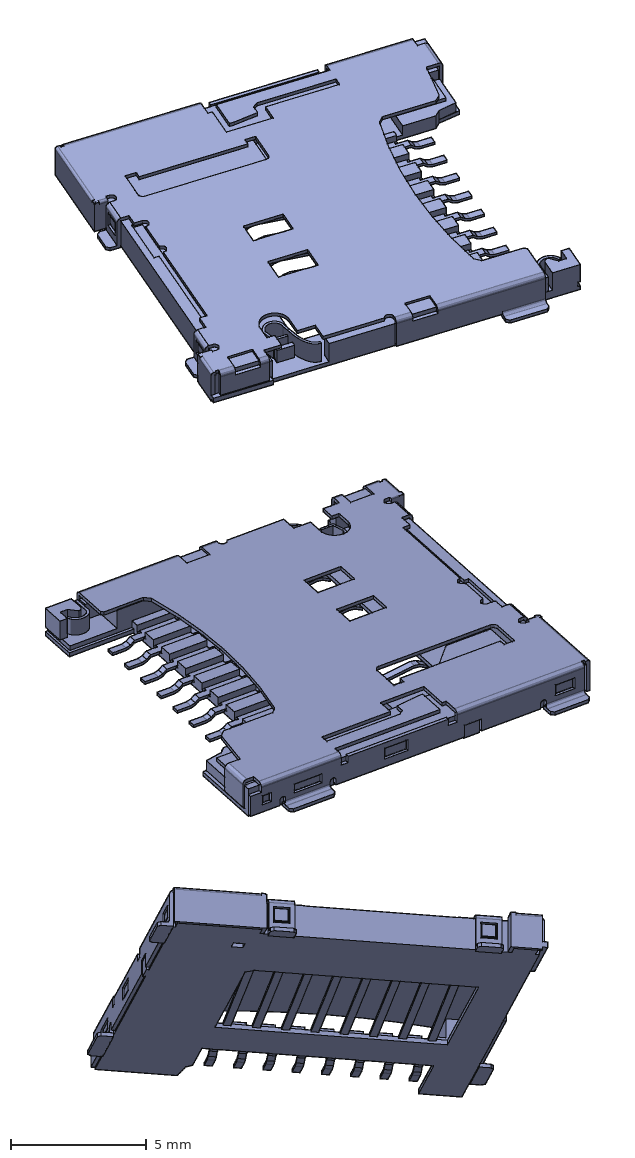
import cadquery as cq
import math

SHEET = 0.15
TOP = 1.5
PLATE_UNDER = TOP - SHEET
SOLDER_FOOT_BOTTOM = 0.05
WALL_BOTTOM = SOLDER_FOOT_BOTTOM + SHEET
BASE_BOTTOM = 0.12
FLOOR_TOP = 0.30
RIB_TOP = 0.60
SHELF_TOP = 0.50
REAR_LEFT_TOP = 0.75
LOW_TOP = 1.20

HALF_X = 7.47
HALF_Y = 7.475
WALL_LEFT = -7.03
WALL_RIGHT = 7.06
BASE_LEFT = WALL_LEFT + SHEET
BASE_RIGHT = 6.91
SHELF_LEFT = 5.40
SHELF_LIP = 0.10
ARM_LEFT = 5.28
REAR_LEFT_CORNER_X = -3.79
FRONT_WALL_INNER = -6.20
BASE_FRONT = -6.92
BEND_DEPTH = 0.20
SIDE_BEND = 0.18
FRONT_BEND = 0.10
SHARP_BEND = 0.03

FRONT_LEFT = (-6.92, -3.44)
FRONT_RIGHT = (5.72, 6.92)
SIDE_WALL_FRONT = -7.16
RIGHT_WALL_FRONT = -0.04
REAR_LEFT_END = [(-3.65, 6.58), (-3.43, 6.35)]
EXPOSED_SIDE = 6.77
SWITCH_NOTCH = (6.08, -4.47, -2.88)
SWITCH_NOTCH_STEP = 6.55
CONTACT_WINDOWS = ((-0.03, 0.86), (2.14, 3.08))
CONTACT_WINDOW_Y = (-3.0, -1.39)
CORNER_RELIEF = (6.82, -0.22)
BACK_CORNER = (7.0, 1.10)
REAR_RIGHT = 6.0
FRONT_RIGHT_WALL_BACK = -5.17
SKIRT_SIDE = 7.11
SKIRT_BACK = -5.04
SKIRT_TOP = 0.42
BACK_FLANGE = (-6.50, -5.27)
BAY = (-3.43, 5.36)
BAY_CORNER_Y = 3.96
BAY_MIDDLE_Y = 3.49
PLATE_FRONT = -6.59
RELIEF = 0.35
TAB_WIDTH = 0.98
TAB_XS = (-2.80, 4.99)
TAB_OUTER = BASE_FRONT - SHEET
TAB_WINDOW = (0.62, 0.55, 1.17)
FOOT_CORNER = 0.12
FOOT_BEND = 0.13
FRONT_NOTCH = (-1.84, 3.94)
FRONT_NOTCH_BACK = -6.28
NOTCH_RELIEF_XS = (-1.68, -0.12)
NOTCH_RELIEF_BACK = -6.08
LEFT_FEET = ((3.99, 6.0), (-7.16, -5.45))
RIGHT_FOOT = (4.25, 6.0)
LEFT_ARCH_YS = (6.06, 3.86, -5.36)
ARCH_WIDTH = 0.25
ARCH_TOP = 0.55
ARCH_ROUNDING = 0.12
LEFT_WINDOWS = (
    (6.57, 6.95, 0.53, 0.93),
    (4.35, 5.56, 0.53, 0.93),
    (0.57, 1.60, 0.55, 1.03),
    (-6.73, -5.89, 0.55, 1.03),
)
LEFT_DOOR = (-2.64, -1.89, 0.73)
RIGHT_NOTCHES = ((0.63, 1.64), (-6.55, -5.54))
RIGHT_NOTCH_X = 6.34
LATCH_GAP = 0.05
LATCH_HEIGHT = 0.10

CONTACT_COUNT = 8
CONTACT_PITCH = 1.10
CONTACT_FIRST_X = -2.92
CONTACT_WIDTH = 0.30
CONTACT_SHEET = 0.12
CONTACT_TAIL = 6.0
CONTACT_PLATE_BACK = 4.55
PLATE_BOTTOM = 0.20
GROOVE_WIDTH = CONTACT_PITCH / 2
COMB_BACK = 4.65
COMB_FRONT = 3.0
CONTACT_XS = [CONTACT_FIRST_X + i * CONTACT_PITCH for i in range(CONTACT_COUNT)]

SLIDER_LEFT = -5.24
SLIDER_EDGE = -3.37
SLIDER_TOP = 0.68
SLIDER_BACK = -0.30
SLIDER_FRONT = -6.10
CATCH_RIGHT = -2.30
CATCH_START = -3.07
PEG_HOLE = (-4.36, -3.93, -5.80, -5.42)

STRIP = 0.10
SWITCH_POCKET = (4.70, BASE_RIGHT, -5.0, -2.70)
SWITCH_POST = (5.97, 6.16, -4.47, -3.75)
SWITCH_POST_TOP = 0.90


def block(x0, x1, y0, y1, z0, z1):
    """Axis-aligned box given by its limits."""
    return cq.Workplane("XY").box(x1 - x0, y1 - y0, z1 - z0, centered=False).translate((x0, y0, z0))


def prism(points, z0, z1):
    """Straight-sided prism on a plan outline."""
    return cq.Workplane("XY").workplane(offset=z0).polyline(points).close().extrude(z1 - z0)


def bent_wall(start, outward, length, bend, bottom=WALL_BOTTOM):
    """Shell wall with a rounded top bend; start is on the outer face, and the wall runs along outward x Z."""
    along = (outward[1], -outward[0], 0)
    plane = cq.Plane(origin=(start[0], start[1], 0), xDir=(outward[0], outward[1], 0), normal=along)
    diagonal = bend * (1 - math.sqrt(0.5))
    return (
        cq.Workplane(plane)
        .moveTo(0, bottom)
        .lineTo(0, TOP - bend)
        .threePointArc((-diagonal, TOP - diagonal), (-bend, TOP))
        .lineTo(-BEND_DEPTH, TOP)
        .lineTo(-BEND_DEPTH, PLATE_UNDER)
        .lineTo(-SHEET, PLATE_UNDER)
        .lineTo(-SHEET, bottom)
        .close()
        .extrude(length)
    )


def foot(x0, x1, y0, y1, outer_side):
    """Flat solder foot with its two outer corners clipped."""
    pad = block(x0, x1, y0, y1, SOLDER_FOOT_BOTTOM, WALL_BOTTOM)
    return pad.faces(outer_side).edges("|Z").chamfer(FOOT_CORNER)


def foot_bend(wall_x, side, y0, y1):
    """Inside radius between a side wall and its foot; side is +1 or -1 along X."""
    z = WALL_BOTTOM
    reach = FOOT_BEND * (1 - math.sqrt(0.5))
    return (
        cq.Workplane("XZ", origin=(0, y1, 0))
        .moveTo(wall_x, z)
        .lineTo(wall_x + side * FOOT_BEND, z)
        .threePointArc((wall_x + side * reach, z + reach), (wall_x, z + FOOT_BEND))
        .close()
        .extrude(y1 - y0)
    )


def round_relief(x, y_back, y_front, width):
    """Cutter for a slot along Y with a round back end."""
    radius = width / 2
    return (
        cq.Workplane("XY")
        .workplane(offset=WALL_BOTTOM)
        .moveTo(x - radius, y_front)
        .lineTo(x - radius, y_back - radius)
        .threePointArc((x, y_back), (x + radius, y_back - radius))
        .lineTo(x + radius, y_front)
        .close()
        .extrude(TOP)
    )


def shell_plate():
    left = WALL_LEFT + BEND_DEPTH
    back = HALF_Y - BEND_DEPTH
    front = -back
    bay_left, bay_right = BAY
    corner = 0.22
    clip = 0.10
    notch_x, notch_start, notch_end = SWITCH_NOTCH
    flange_front = 6.80
    outline = (
        cq.Workplane("XY")
        .workplane(offset=PLATE_UNDER)
        .moveTo(left, front)
        .lineTo(left, back)
        .lineTo(BACK_FLANGE[1], back)
        .lineTo(BACK_FLANGE[1], flange_front)
        .lineTo(*REAR_LEFT_END[0])
        .lineTo(*REAR_LEFT_END[1])
        .lineTo(bay_left, BAY_CORNER_Y + corner)
        .lineTo(bay_left + corner, BAY_CORNER_Y)
        .threePointArc(((bay_left + bay_right) / 2, BAY_MIDDLE_Y), (bay_right - corner, BAY_CORNER_Y))
        .lineTo(bay_right, BAY_CORNER_Y + corner)
        .lineTo(bay_right, REAR_RIGHT - clip)
        .lineTo(bay_right + clip, REAR_RIGHT)
        .lineTo(WALL_RIGHT - BEND_DEPTH, REAR_RIGHT)
        .lineTo(WALL_RIGHT - BEND_DEPTH, RIGHT_WALL_FRONT)
        .lineTo(EXPOSED_SIDE, RIGHT_WALL_FRONT)
        .lineTo(EXPOSED_SIDE, notch_end)
        .lineTo(notch_x, notch_end)
        .lineTo(notch_x, notch_start)
        .lineTo(SWITCH_NOTCH_STEP, notch_start)
        .lineTo(SWITCH_NOTCH_STEP, FRONT_RIGHT_WALL_BACK)
        .lineTo(WALL_RIGHT - BEND_DEPTH, FRONT_RIGHT_WALL_BACK)
        .lineTo(WALL_RIGHT - BEND_DEPTH, front)
        .lineTo(FRONT_RIGHT[0] + BEND_DEPTH, front)
        .lineTo(FRONT_RIGHT[0] + BEND_DEPTH, BASE_FRONT)
        .lineTo(TAB_XS[1] - TAB_WIDTH / 2, BASE_FRONT)
        .lineTo(TAB_XS[1] - TAB_WIDTH / 2, PLATE_FRONT)
        .lineTo(TAB_XS[0] + TAB_WIDTH / 2, PLATE_FRONT)
        .lineTo(TAB_XS[0] + TAB_WIDTH / 2, BASE_FRONT)
        .lineTo(FRONT_LEFT[1] - BEND_DEPTH, BASE_FRONT)
        .lineTo(FRONT_LEFT[1] - BEND_DEPTH, front)
        .close()
    )
    return outline.extrude(SHEET)


def shell_walls():
    left_start, left_end = FRONT_LEFT
    right_start, right_end = FRONT_RIGHT
    back_start, back_end = BACK_FLANGE
    return_depth = BASE_FRONT + HALF_Y
    side_front_length = FRONT_RIGHT_WALL_BACK - SIDE_WALL_FRONT
    return [
        bent_wall((WALL_LEFT, SIDE_WALL_FRONT), (-1, 0), HALF_Y - SIDE_WALL_FRONT, SIDE_BEND),
        bent_wall((back_start, HALF_Y), (0, 1), back_end - back_start, SIDE_BEND, FLOOR_TOP),
        bent_wall((WALL_RIGHT, REAR_RIGHT), (1, 0), REAR_RIGHT - RIGHT_WALL_FRONT, SIDE_BEND),
        bent_wall((WALL_RIGHT, FRONT_RIGHT_WALL_BACK), (1, 0), side_front_length, SIDE_BEND),
        bent_wall((left_end, -HALF_Y), (0, -1), left_end - left_start, FRONT_BEND, BASE_BOTTOM),
        bent_wall((right_end, -HALF_Y), (0, -1), right_end - right_start, FRONT_BEND, BASE_BOTTOM),
        bent_wall((left_end, BASE_FRONT), (1, 0), return_depth, FRONT_BEND, BASE_BOTTOM),
        bent_wall((right_start, -HALF_Y), (-1, 0), return_depth, SHARP_BEND, BASE_BOTTOM),
        block(BASE_RIGHT, SKIRT_SIDE, -HALF_Y, SKIRT_BACK, WALL_BOTTOM, SKIRT_TOP),
    ]


def front_tab(x):
    """Locking tab with its window and solder foot."""
    left = x - TAB_WIDTH / 2
    right = x + TAB_WIDTH / 2
    window_width, window_bottom, window_top = TAB_WINDOW
    tab = bent_wall((right, TAB_OUTER), (0, -1), TAB_WIDTH, SIDE_BEND)
    tab = tab.union(block(left, right, TAB_OUTER + BEND_DEPTH, PLATE_FRONT, PLATE_UNDER, TOP))
    half = window_width / 2
    tab = tab.cut(block(x - half, x + half, TAB_OUTER, BASE_FRONT, window_bottom, window_top))
    return tab.union(foot(left, right, -HALF_Y, BASE_FRONT, "<Y"))


def leaf_slot():
    """Opening around the leaf spring that presses on the slider side."""
    y_root, y_end = 3.50, -1.58
    cut_bottom = 1.28
    notch_bottom = 1.0
    opening = prism(
        [(WALL_LEFT, y_root), (-5.72, y_root), (-5.72, 0.50), (-5.04, 0.50), (-5.04, -1.40),
         (-6.28, -1.40), (-6.28, y_end), (WALL_LEFT, y_end)],
        cut_bottom, TOP,
    )
    leaf = prism(
        [(-6.60, y_root), (-6.05, y_root), (-6.05, 0.30), (-5.90, 0.10), (-5.55, 0.10),
         (-5.43, -0.90), (-5.43, -1.10), (-6.60, -1.10)],
        cut_bottom, TOP,
    )
    wall_notches = block(WALL_LEFT, BASE_LEFT, y_root - 0.30, y_root, notch_bottom, TOP)
    wall_notches = wall_notches.union(block(WALL_LEFT, BASE_LEFT, y_end, y_end + 0.38, notch_bottom, TOP))
    return opening.cut(leaf).union(wall_notches)


def slider_slot():
    """Stepped opening over the slider."""
    y_front, y_back = -5.80, -0.52
    slot = block(-4.12, -3.05, y_front, y_back, PLATE_UNDER, TOP)
    slot = slot.edges("|Z and >X").fillet(0.20)
    for y0, y1 in ((y_back - 0.43, y_back), (y_front, y_front + 0.45)):
        slot = slot.union(block(-4.38, -4.0, y0, y1, PLATE_UNDER, TOP))
    return slot


def switch_opening():
    """D-shaped hole over the loop of the front detect spring."""
    radius = 0.59
    x_mid, y_mid = 5.38, -4.20
    notch_x, notch_start, _ = SWITCH_NOTCH
    x_right = SWITCH_POST[0]
    return (
        cq.Workplane("XY")
        .workplane(offset=PLATE_UNDER)
        .moveTo(notch_x, y_mid + radius)
        .lineTo(x_mid, y_mid + radius)
        .threePointArc((x_mid - radius, y_mid), (x_mid, y_mid - radius))
        .lineTo(x_right, y_mid - radius)
        .lineTo(x_right, notch_start)
        .lineTo(notch_x, notch_start)
        .close()
        .extrude(SHEET)
    )


def left_wall_openings():
    x0, x1 = WALL_LEFT, BASE_LEFT
    corner_start, corner_bottom = BACK_CORNER
    cutters = [block(x0, x1, *window) for window in LEFT_WINDOWS]
    door_start, door_end, door_top = LEFT_DOOR
    cutters.append(block(x0, x1, door_start, door_end, WALL_BOTTOM, door_top))
    for y in LEFT_ARCH_YS:
        radius = ARCH_WIDTH / 2
        arch = block(x0, x1, y - radius, y + radius, WALL_BOTTOM, ARCH_TOP)
        cutters.append(arch.edges("|X and >Z").fillet(ARCH_ROUNDING))
    cutters.append(block(x0, BACK_FLANGE[0], corner_start, HALF_Y, corner_bottom, TOP))
    return cutters


def make_shell():
    """Folded sheet metal cover."""
    shell = shell_plate()
    for wall in shell_walls():
        shell = shell.union(wall)
    for x in TAB_XS:
        shell = shell.union(front_tab(x))
    for y0, y1 in LEFT_FEET:
        shell = shell.union(foot(-HALF_X, BASE_LEFT, y0, y1, "<X"))
        shell = shell.union(foot_bend(WALL_LEFT, -1, y0, y1))
    shell = shell.union(foot(WALL_RIGHT - SHEET, HALF_X, *RIGHT_FOOT, ">X"))
    shell = shell.union(foot_bend(WALL_RIGHT, 1, *RIGHT_FOOT))

    tab_reliefs = (
        TAB_XS[0] - (TAB_WIDTH + RELIEF) / 2,
        TAB_XS[1] + (TAB_WIDTH + RELIEF) / 2,
    )
    for x in tab_reliefs:
        shell = shell.cut(round_relief(x, PLATE_FRONT, BASE_FRONT, RELIEF))
    for x in NOTCH_RELIEF_XS:
        shell = shell.cut(round_relief(x, NOTCH_RELIEF_BACK, PLATE_FRONT, RELIEF))
    shell = shell.cut(block(*FRONT_NOTCH, PLATE_FRONT, FRONT_NOTCH_BACK, PLATE_UNDER, TOP))

    for y0, y1 in RIGHT_NOTCHES:
        shell = shell.cut(block(RIGHT_NOTCH_X, WALL_RIGHT, y0, y1, LOW_TOP, TOP))
    for x0, x1 in CONTACT_WINDOWS:
        shell = shell.cut(block(x0, x1, *CONTACT_WINDOW_Y, PLATE_UNDER, TOP))
    corner_relief = cq.Workplane("XY").center(*CORNER_RELIEF).circle(RELIEF / 2).extrude(TOP)
    shell = shell.cut(corner_relief)
    for cutter in left_wall_openings():
        shell = shell.cut(cutter)
    return shell.cut(leaf_slot()).cut(slider_slot()).cut(switch_opening())


def contact():
    """One contact: tail on the board, wide plate in the floor groove, and beam rising to the front."""
    lower = [
        (CONTACT_TAIL, 0), (5.41, 0), (5.22, 0.06), (5.04, PLATE_BOTTOM), (2.70, PLATE_BOTTOM),
        (-2.25, 0.84), (-2.50, 0.80), (-2.83, 0.62),
    ]
    upper = [(y, z + CONTACT_SHEET) for y, z in reversed(lower)]
    strip = cq.Workplane("YZ").polyline(lower + upper).close().extrude(CONTACT_WIDTH / 2, both=True)
    half = GROOVE_WIDTH / 2
    plate = block(-half, half, COMB_FRONT, CONTACT_PLATE_BACK, PLATE_BOTTOM, PLATE_BOTTOM + CONTACT_SHEET)
    return strip.union(plate)


def housing_base():
    base = prism(
        [(BASE_LEFT, BASE_FRONT), (BASE_RIGHT, BASE_FRONT), (BASE_RIGHT, HALF_Y), (ARM_LEFT, HALF_Y),
         (ARM_LEFT, COMB_BACK), (BAY[0], COMB_BACK), *reversed(REAR_LEFT_END), (REAR_LEFT_CORNER_X, HALF_Y),
         (BASE_LEFT, HALF_Y)],
        BASE_BOTTOM, FLOOR_TOP,
    )
    front_left = block(FRONT_LEFT[0] + SHEET, FRONT_LEFT[1] - SHEET, SHEET - HALF_Y, BASE_FRONT,
                       BASE_BOTTOM, PLATE_UNDER)
    front_right = block(FRONT_RIGHT[0] + SHEET, FRONT_RIGHT[1] - SHEET, SHEET - HALF_Y, BASE_FRONT,
                        BASE_BOTTOM, PLATE_UNDER)
    return base.union(front_left).union(front_right)


def housing_walls():
    """Side rails, front wall and rear corner blocks standing on the floor."""
    right_inner = 6.50
    block_front = 5.0
    rear_left_back = HALF_Y - SHEET
    step_x, step_back, step_height = -4.03, 7.03, 0.15
    corner_block_right = -6.60
    arm_wall_back = 5.30
    block_left, block_inner_back = 5.92, 7.15
    pocket_x = 6.40
    walls = [
        block(BASE_LEFT, SLIDER_LEFT, BASE_FRONT, HALF_Y - BEND_DEPTH, FLOOR_TOP, LOW_TOP),
        block(BASE_LEFT, corner_block_right, block_front, HALF_Y, FLOOR_TOP, PLATE_UNDER),
        block(BASE_LEFT, BASE_RIGHT, BASE_FRONT, FRONT_WALL_INNER, FLOOR_TOP, PLATE_UNDER),
        block(right_inner, BASE_RIGHT, BASE_FRONT, REAR_RIGHT, FLOOR_TOP, LOW_TOP),
        block(SHELF_LEFT, BASE_RIGHT, COMB_FRONT, HALF_Y - SHELF_LIP, FLOOR_TOP, SHELF_TOP),
        block(SHELF_LEFT, BASE_RIGHT, COMB_FRONT, arm_wall_back, SHELF_TOP, PLATE_UNDER),
    ]
    rear_left = prism(
        [(SLIDER_LEFT, block_front), (BAY[0], block_front), *reversed(REAR_LEFT_END),
         (REAR_LEFT_CORNER_X, rear_left_back), (SLIDER_LEFT, rear_left_back)],
        FLOOR_TOP, REAR_LEFT_TOP,
    )
    step_top = REAR_LEFT_TOP + step_height
    rear_left_step = block(SLIDER_LEFT, step_x, block_front, step_back, REAR_LEFT_TOP, step_top)
    rear_right = (
        cq.Workplane("XY")
        .workplane(offset=SHELF_TOP)
        .moveTo(block_left, HALF_Y)
        .lineTo(BASE_RIGHT, HALF_Y)
        .lineTo(BASE_RIGHT, 6.34)
        .lineTo(6.28, 6.34)
        .threePointArc((6.13, 6.43), (6.10, 6.53))
        .lineTo(pocket_x, 6.83)
        .lineTo(pocket_x, block_inner_back)
        .lineTo(block_left, block_inner_back)
        .close()
        .extrude(PLATE_UNDER - SHELF_TOP)
    )
    return walls + [rear_left, rear_left_step, rear_right]


def comb():
    """Ribs that keep the contacts apart at the rear edge."""
    ribs = block(BAY[0], SHELF_LEFT, COMB_FRONT, COMB_BACK, FLOOR_TOP, RIB_TOP)
    half = GROOVE_WIDTH / 2
    for x in CONTACT_XS:
        ribs = ribs.cut(block(x - half, x + half, COMB_FRONT, COMB_BACK, FLOOR_TOP, RIB_TOP))
    return ribs


def latches():
    """Nubs that snap into the windows of the shell."""
    nubs = []
    outer = BASE_LEFT - LATCH_HEIGHT
    for y0, y1, z0, z1 in LEFT_WINDOWS:
        nubs.append(block(outer, BASE_LEFT, y0 + LATCH_GAP, y1 - LATCH_GAP,
                          z0 + LATCH_GAP, z1 - LATCH_GAP))
    door_start, door_end, door_top = LEFT_DOOR
    nubs.append(block(outer, BASE_LEFT, door_start + LATCH_GAP, door_end, BASE_BOTTOM, door_top))
    width, z0, z1 = TAB_WINDOW
    half = width / 2 - LATCH_GAP
    for x in TAB_XS:
        nubs.append(block(x - half, x + half, BASE_FRONT - LATCH_HEIGHT, BASE_FRONT,
                          z0 + 2 * LATCH_GAP, z1 - LATCH_GAP))
    for y0, y1 in RIGHT_NOTCHES:
        nubs.append(block(RIGHT_NOTCH_X, BASE_RIGHT, y0, y1, FLOOR_TOP, PLATE_UNDER + LATCH_GAP))
    return nubs


def housing_openings():
    y_front, y_back = -3.30, 2.50
    x_step = 0.05
    floor_opening = prism(
        [(SLIDER_EDGE, y_back), (BAY[1], y_back), (BAY[1], y_front),
         (-3.05, y_front), (SLIDER_EDGE, CATCH_START)],
        BASE_BOTTOM, FLOOR_TOP,
    )
    ledge_left = block(-1.95, x_step, -6.65, FRONT_WALL_INNER, LOW_TOP, PLATE_UNDER)
    ledge_right = block(x_step, FRONT_NOTCH[1], -6.45, FRONT_WALL_INNER, LOW_TOP, PLATE_UNDER)
    return [
        floor_opening,
        ledge_left,
        ledge_right,
        block(*PEG_HOLE, BASE_BOTTOM, FLOOR_TOP),
        block(*SWITCH_POCKET, FLOOR_TOP, TOP),
    ]


def make_housing():
    """Moulded housing with the contacts moulded into its floor."""
    housing = housing_base()
    for part in housing_walls() + [comb()] + latches():
        housing = housing.union(part)
    for cutter in housing_openings():
        housing = housing.cut(cutter)
    housing = housing.union(block(*SWITCH_POST, FLOOR_TOP, SWITCH_POST_TOP))
    for x in CONTACT_XS:
        housing = housing.union(contact().translate((x, 0, 0)))
    return housing


def make_slider():
    """Ejector slider with a catch that reaches under the card."""
    catch_run = CATCH_RIGHT - SLIDER_EDGE
    slider = prism(
        [(SLIDER_LEFT, SLIDER_BACK), (SLIDER_EDGE, SLIDER_BACK), (SLIDER_EDGE, CATCH_START),
         (CATCH_RIGHT, CATCH_START - catch_run), (CATCH_RIGHT, SLIDER_FRONT), (SLIDER_LEFT, SLIDER_FRONT)],
        FLOOR_TOP, SLIDER_TOP,
    )
    return slider.cut(block(*PEG_HOLE, FLOOR_TOP, SLIDER_TOP))


def make_rear_spring():
    """Strip hooked round the rear right corner block, standing on the shelf."""
    strip = (
        cq.Workplane("XY")
        .workplane(offset=SHELF_TOP)
        .moveTo(BASE_RIGHT, 6.06)
        .lineTo(6.10, 6.06)
        .threePointArc((5.80, 6.57), (6.13, 7.03))
        .lineTo(6.22, 6.95)
        .threePointArc((5.92, 6.57), (6.12, 6.18))
        .lineTo(BASE_RIGHT, 6.18)
        .close()
    )
    return strip.extrude(LOW_TOP - SHELF_TOP)


def make_front_spring():
    """Strip from the right wall that ends in a rounded loop."""
    radius = 0.40
    x_loop, y_loop = 5.35, -4.20
    x_end = 5.85
    start = (6.72, -2.95)
    z_mid = (FLOOR_TOP + LOW_TOP) / 2
    path = (
        cq.Workplane("XY", origin=(0, 0, z_mid))
        .moveTo(*start)
        .spline([(6.62, -3.25), (6.10, -3.60), (x_loop, y_loop + radius)],
                includeCurrent=True, tangents=[(0, -1), (-1, -0.3)])
        .threePointArc((x_loop - radius, y_loop), (x_loop, y_loop - radius))
        .lineTo(x_end, -4.45)
        .lineTo(x_end, -3.90)
    )
    section = cq.Workplane(cq.Plane(origin=(*start, z_mid), xDir=(1, 0, 0), normal=(0, -1, 0)))
    return section.rect(STRIP, LOW_TOP - FLOOR_TOP).sweep(path, transition="right")


shell = make_shell()
housing = make_housing()
slider = make_slider()
rear_spring = make_rear_spring()
front_spring = make_front_spring()

result = cq.Compound.makeCompound(
    [shell.val(), housing.val(), slider.val(), rear_spring.val(), front_spring.val()]
)